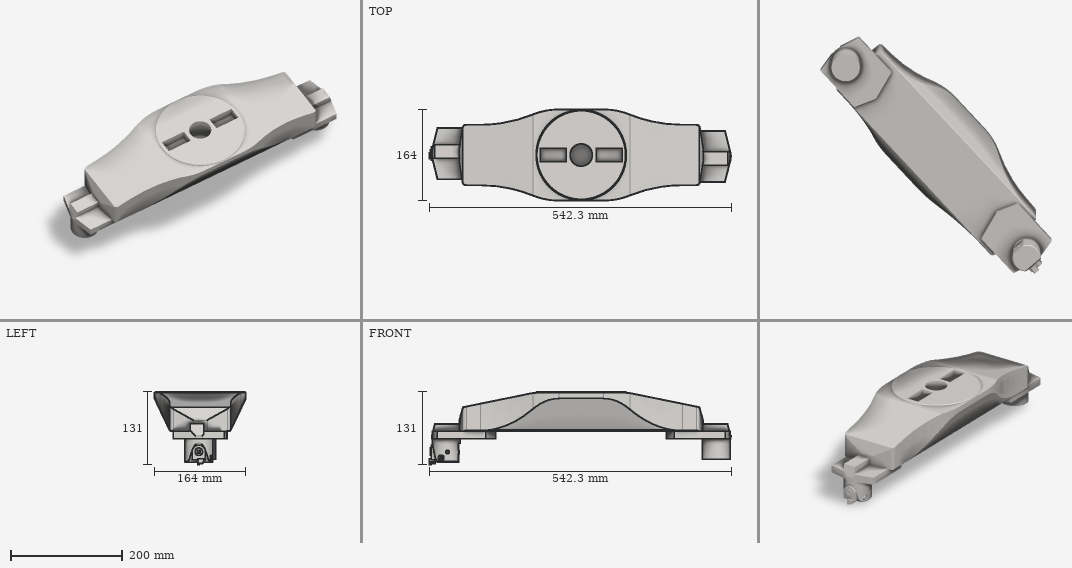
import cadquery as cq
import math


BRIDGE_HALF_WIDTH = 82.0
BRIDGE_TOP = 68.5
END_HALF_WIDTH = 54.5
END_X = 212.2
END_TOP = 43.0
END_CORNER_RADIUS = 7.0
NOSE_X = 218.8
NOSE_HALF_WIDTH = 12.8
NOSE_TOP = 19.7
SWELL_START_X = 40.0
CONVEX_RADIUS = 125.0
CONCAVE_RADIUS = 250.0
FLANK_TOP = 58.5
FLANK_BOTTOM = 2.0
FLANK_BOTTOM_HALF_WIDTH = 55.0
BOTTOM_HALF_WIDTH = 53.0

SWELL_ANGLE = math.acos(
    1 - (BRIDGE_HALF_WIDTH - END_HALF_WIDTH) / (CONVEX_RADIUS + CONCAVE_RADIUS)
)
CREST_X = SWELL_START_X + CONVEX_RADIUS * math.sin(SWELL_ANGLE)
CREST_HALF_WIDTH = BRIDGE_HALF_WIDTH - CONVEX_RADIUS * (1 - math.cos(SWELL_ANGLE))
SWELL_END_X = CREST_X + CONCAVE_RADIUS * math.sin(SWELL_ANGLE)

DISC_DIAMETER = 162.0
DISC_HEIGHT = 2.5
DISC_CHAMFER = 1.5
BORE_DIAMETER = 40.0
BORE_DEPTH = 40.0
KEYWAY_INNER_X = 27.0
KEYWAY_LENGTH = 46.5
KEYWAY_WIDTH = 24.0
KEYWAY_DEPTH = 18.0

SLIDER_THICKNESS = 14.0
SLIDER_WIDTH = 92.0
SLIDER_CENTRE_Y = 2.5
TIP_X = -268.0
TIP_FLAT_WIDTH = 13.0
BEVEL = math.tan(math.radians(14))
INNER_PEAK = (-153.0, 9.0)
INNER_SLOPE = 0.35
RAIL_WIDTH = 24.0
RAIL_CENTRE_Y = 6.0
RAIL_HEIGHT = 13.0
RAIL_INNER_X = -171.0
RAIL_BEVEL_BOTTOM = -8.0
TIP_PIN_DIAMETER = 1.5
TIP_PIN_END_X = 269.33

HEAD_DIAMETER = 50.8
HEAD_X = -242.3
HEAD_BOTTOM = -56.0
HEAD_CHAMFER = 1.5
COUNTERWEIGHT_BOTTOM = -51.0
BACK_FLAT_X = -220.0
BACK_FLAT_TOP = -22.0
BACK_BUTTON_DIAMETER = 6.0
BACK_BUTTON_HEIGHT = 1.5
BACK_BUTTON_Z = -38.0
CROSS_HOLE_DIAMETER = 6.0
CROSS_HOLE_DEPTH = 10.0
CROSS_HOLE_X = -240.0
CROSS_HOLE_Z = -37.5
SIDE_SCREW_X = -251.4
SIDE_SCREW_Z = -48.1
SIDE_SCREW_DIAMETER = 8.5
SIDE_RECESS_DIAMETER = 10.02
SIDE_RECESS_Y = -18.0
SIDE_SCREW_Y = -21.5
SIDE_SOCKET_DIAMETER = 1.5
SIDE_SOCKET_DEPTH = 1.5

SEAT_TOP_Z = -21.0
SEAT_SLOPE = 0.215
SEAT_RELIEF_TOP = -50.0
SEAT_RELIEF_X = -258.0
HEAD_FRONT_X = HEAD_X - HEAD_DIAMETER / 2
CARTRIDGE_FRONT_X = -269.5
CARTRIDGE_BACK_X = -258.0
CARTRIDGE_HALF_WIDTH = 12.0
CARTRIDGE_BOTTOM = -51.5
SCREW_Z = -37.0
SCREW_HEAD_DIAMETER = 13.6
SCREW_HEAD_X = -270.9
SCREW_SHANK_DIAMETER = 6.0
SCREW_END_X = -250.0
SCREW_SOCKET_DIAMETER = 5.0
SCREW_SOCKET_DEPTH = 1.0
TOOTH_FRONT_X = -273.0
TOOTH_BACK_X = -262.0
TOOTH_Y = (-6.7, 4.3)
TOOTH_TOP = -50.0
TOOTH_BOTTOM = -58.5
TOOTH_CHAMFER = 3.0
EDGE_TIP_Z = -60.0
EDGE_BACK_X = -269.5
EDGE_WIDTH = 2.5


def box(x0, x1, y0, y1, z0, z1):
    """Block between opposite corners."""
    return cq.Workplane(cq.Solid.makeBox(x1 - x0, y1 - y0, z1 - z0, cq.Vector(x0, y0, z0)))


def rod(diameter, start, direction, length):
    """Round bar from a start point along a direction."""
    return cq.Workplane(
        cq.Solid.makeCylinder(diameter / 2, length, cq.Vector(*start), cq.Vector(*direction))
    )


def half_turn(body):
    """The same shape at the opposite end of the bridge."""
    return body.rotate((0, 0, 0), (0, 0, 1), 180)


def arc_middle(start_x, start_y, radius, rise):
    """Point half way along a side arc that begins parallel to X."""
    half = SWELL_ANGLE / 2
    return start_x + radius * math.sin(half), start_y + rise * radius * (1 - math.cos(half))


def bridge_plan():
    """Outline seen along Z, with its four upright end corners rounded."""
    convex_mid = arc_middle(SWELL_START_X, BRIDGE_HALF_WIDTH, CONVEX_RADIUS, -1)
    concave_mid = arc_middle(-SWELL_END_X, END_HALF_WIDTH, CONCAVE_RADIUS, 1)
    concave_mid = (-concave_mid[0], concave_mid[1])

    def at(point, side_x, side_y):
        return side_x * point[0], side_y * point[1]

    crest = (CREST_X, CREST_HALF_WIDTH)
    swell_end = (SWELL_END_X, END_HALF_WIDTH)
    swell_start = (SWELL_START_X, BRIDGE_HALF_WIDTH)
    end = (END_X, END_HALF_WIDTH)
    nose = (NOSE_X, NOSE_HALF_WIDTH)
    outline = cq.Workplane("XY").moveTo(*at(swell_start, -1, 1))
    for side in (1, -1):
        outline = (
            outline.lineTo(*at(swell_start, side, side))
            .threePointArc(at(convex_mid, side, side), at(crest, side, side))
            .threePointArc(at(concave_mid, side, side), at(swell_end, side, side))
            .lineTo(*at(end, side, side))
            .lineTo(*at(nose, side, side))
            .lineTo(*at(nose, side, -side))
            .lineTo(*at(end, side, -side))
            .lineTo(*at(swell_end, side, -side))
            .threePointArc(at(concave_mid, side, -side), at(crest, side, -side))
            .threePointArc(at(convex_mid, side, -side), at(swell_start, side, -side))
        )
    plan = outline.close().extrude(BRIDGE_TOP)
    for side in (1, -1):
        corners = cq.selectors.BoxSelector(
            (side * (END_X - 1), -BRIDGE_HALF_WIDTH, 0),
            (side * (END_X + 1), BRIDGE_HALF_WIDTH, BRIDGE_TOP),
        )
        plan = plan.edges("|Z").edges(corners).fillet(END_CORNER_RADIUS)
    return plan


def bridge_elevation():
    """Outline seen along Y: flat crest, falling roof, sloped nose."""
    half = [(NOSE_X, 0), (NOSE_X, NOSE_TOP), (END_X, END_TOP), (CREST_X, BRIDGE_TOP)]
    mirrored = [(-x, z) for x, z in reversed(half)]
    return (
        cq.Workplane("XZ").polyline(half + mirrored).close()
        .extrude(BRIDGE_HALF_WIDTH, both=True)
    )


def bridge_section():
    """Outline seen along X: upright rim above inward-leaning flanks."""
    half = [
        (BOTTOM_HALF_WIDTH, 0),
        (FLANK_BOTTOM_HALF_WIDTH, FLANK_BOTTOM),
        (BRIDGE_HALF_WIDTH, FLANK_TOP),
        (BRIDGE_HALF_WIDTH, BRIDGE_TOP),
    ]
    mirrored = [(-y, z) for y, z in reversed(half)]
    return cq.Workplane("YZ").polyline(half + mirrored).close().extrude(NOSE_X, both=True)


def make_bridge():
    bridge = bridge_plan().intersect(bridge_elevation()).intersect(bridge_section())
    disc = rod(DISC_DIAMETER, (0, 0, BRIDGE_TOP), (0, 0, 1), DISC_HEIGHT)
    bridge = bridge.union(disc.faces(">Z").chamfer(DISC_CHAMFER))
    disc_top = BRIDGE_TOP + DISC_HEIGHT
    bridge = bridge.cut(rod(BORE_DIAMETER, (0, 0, disc_top), (0, 0, -1), BORE_DEPTH))
    keyway = box(
        KEYWAY_INNER_X, KEYWAY_INNER_X + KEYWAY_LENGTH,
        -KEYWAY_WIDTH / 2, KEYWAY_WIDTH / 2,
        disc_top - KEYWAY_DEPTH, disc_top,
    )
    rail_slot = rail_block()
    for cutter in (keyway, rail_slot):
        bridge = bridge.cut(cutter).cut(half_turn(cutter))
    return bridge


def rail_block():
    """Rail on the slider plate, also the slot it fills in the bridge."""
    return box(
        TIP_X, RAIL_INNER_X,
        RAIL_CENTRE_Y - RAIL_WIDTH / 2, RAIL_CENTRE_Y + RAIL_WIDTH / 2,
        0, RAIL_HEIGHT,
    )


def make_slider():
    """Plate with bevelled tip and pointed inner end, carrying an off-centre rail."""
    y_low = SLIDER_CENTRE_Y - SLIDER_WIDTH / 2
    y_high = SLIDER_CENTRE_Y + SLIDER_WIDTH / 2
    flat_low = SLIDER_CENTRE_Y - TIP_FLAT_WIDTH / 2
    flat_high = SLIDER_CENTRE_Y + TIP_FLAT_WIDTH / 2
    shoulder_x = TIP_X + BEVEL * (y_high - flat_high)
    peak_x, peak_y = INNER_PEAK
    plate = (
        cq.Workplane("XY")
        .polyline([
            (TIP_X, flat_low),
            (shoulder_x, y_low),
            (peak_x - INNER_SLOPE * (peak_y - y_low), y_low),
            INNER_PEAK,
            (peak_x - INNER_SLOPE * (y_high - peak_y), y_high),
            (shoulder_x, y_high),
            (TIP_X, flat_high),
        ])
        .close()
        .extrude(-SLIDER_THICKNESS)
    )
    rail_top_x = TIP_X + BEVEL * (RAIL_HEIGHT - RAIL_BEVEL_BOTTOM)
    wedge = (
        cq.Workplane("XZ", origin=(0, RAIL_CENTRE_Y, 0))
        .polyline([(TIP_X, RAIL_BEVEL_BOTTOM), (rail_top_x, RAIL_HEIGHT), (TIP_X, RAIL_HEIGHT)])
        .close()
        .extrude(RAIL_WIDTH / 2, both=True)
    )
    return plate.union(rail_block()).cut(wedge)


def make_pinned_slider():
    """Slider of the +X end, with a small pin standing out of its tip."""
    pin = rod(
        TIP_PIN_DIAMETER, (-TIP_X, -SLIDER_CENTRE_Y, RAIL_BEVEL_BOTTOM - TIP_PIN_DIAMETER / 2),
        (1, 0, 0), TIP_PIN_END_X + TIP_X,
    )
    return half_turn(make_slider()).union(pin)


def round_block(bottom):
    """Cylinder hanging under the -X slider."""
    return rod(
        HEAD_DIAMETER, (HEAD_X, SLIDER_CENTRE_Y, bottom), (0, 0, 1), -SLIDER_THICKNESS - bottom
    )


def make_counterweight():
    return half_turn(round_block(COUNTERWEIGHT_BOTTOM))


def seat_x(z):
    """X of the sloped cartridge seat at a height."""
    return HEAD_FRONT_X + SEAT_SLOPE * (SEAT_TOP_Z - z)


def seat_wedge(limit_x):
    """Everything between the seat plane and an upright plane at limit_x."""
    return (
        cq.Workplane("XZ", origin=(0, SLIDER_CENTRE_Y, 0))
        .polyline([
            (seat_x(0), 0),
            (seat_x(EDGE_TIP_Z), EDGE_TIP_Z),
            (limit_x, EDGE_TIP_Z),
            (limit_x, 0),
        ])
        .close()
        .extrude(HEAD_DIAMETER, both=True)
    )


def make_head():
    head = round_block(HEAD_BOTTOM).faces("<Z").chamfer(HEAD_CHAMFER)
    head = head.cut(seat_wedge(TOOTH_FRONT_X - HEAD_DIAMETER))
    relief = (
        cq.Workplane("XZ", origin=(0, SLIDER_CENTRE_Y, 0))
        .polyline([
            (seat_x(SEAT_RELIEF_TOP), SEAT_RELIEF_TOP),
            (SEAT_RELIEF_X, HEAD_BOTTOM),
            (HEAD_FRONT_X, HEAD_BOTTOM),
            (HEAD_FRONT_X, SEAT_RELIEF_TOP),
        ])
        .close()
        .extrude(HEAD_DIAMETER / 2, both=True)
    )
    head = head.cut(relief)
    y_low = SLIDER_CENTRE_Y - HEAD_DIAMETER / 2
    y_high = SLIDER_CENTRE_Y + HEAD_DIAMETER / 2
    head = head.cut(
        box(BACK_FLAT_X, HEAD_X + HEAD_DIAMETER / 2, y_low, y_high, HEAD_BOTTOM, BACK_FLAT_TOP)
    )
    button = (BACK_FLAT_X, SLIDER_CENTRE_Y, BACK_BUTTON_Z)
    head = head.union(rod(BACK_BUTTON_DIAMETER, button, (1, 0, 0), BACK_BUTTON_HEIGHT))
    radius = HEAD_DIAMETER / 2
    hole_drop = radius - math.sqrt(radius ** 2 - (CROSS_HOLE_X - HEAD_X) ** 2)
    hole = (CROSS_HOLE_X, y_low, CROSS_HOLE_Z)
    head = head.cut(rod(CROSS_HOLE_DIAMETER, hole, (0, 1, 0), CROSS_HOLE_DEPTH + hole_drop))
    recess = (SIDE_SCREW_X, SIDE_RECESS_Y, SIDE_SCREW_Z)
    top = (SIDE_SCREW_X, SIDE_SCREW_Y, SIDE_SCREW_Z)
    head = head.cut(rod(SIDE_RECESS_DIAMETER, recess, (0, -1, 0), HEAD_DIAMETER))
    head = head.union(rod(SIDE_SCREW_DIAMETER, recess, (0, -1, 0), SIDE_RECESS_Y - SIDE_SCREW_Y))
    return head.cut(rod(SIDE_SOCKET_DIAMETER, top, (0, 1, 0), SIDE_SOCKET_DEPTH))


def make_screw():
    """Screw along X with a round head on the face of the cartridge."""
    head = rod(
        SCREW_HEAD_DIAMETER, (SCREW_HEAD_X, SLIDER_CENTRE_Y, SCREW_Z), (1, 0, 0),
        CARTRIDGE_FRONT_X - SCREW_HEAD_X,
    )
    shank = rod(
        SCREW_SHANK_DIAMETER, (CARTRIDGE_FRONT_X, SLIDER_CENTRE_Y, SCREW_Z), (1, 0, 0),
        SCREW_END_X - CARTRIDGE_FRONT_X,
    )
    socket = rod(
        SCREW_SOCKET_DIAMETER, (SCREW_HEAD_X, SLIDER_CENTRE_Y, SCREW_Z), (1, 0, 0),
        SCREW_SOCKET_DEPTH,
    )
    return head.union(shank).cut(socket)


def make_cartridge():
    """Round-topped plate on the sloped seat, with a cutting tooth at the bottom."""
    y_low = SLIDER_CENTRE_Y - CARTRIDGE_HALF_WIDTH
    y_high = SLIDER_CENTRE_Y + CARTRIDGE_HALF_WIDTH
    body = (
        cq.Workplane("YZ", origin=(CARTRIDGE_FRONT_X, 0, 0))
        .moveTo(y_low, CARTRIDGE_BOTTOM)
        .lineTo(y_high, CARTRIDGE_BOTTOM)
        .lineTo(y_high, SCREW_Z)
        .threePointArc((SLIDER_CENTRE_Y, SCREW_Z + CARTRIDGE_HALF_WIDTH), (y_low, SCREW_Z))
        .close()
        .extrude(CARTRIDGE_BACK_X - CARTRIDGE_FRONT_X)
    )
    tooth_low, tooth_high = TOOTH_Y
    tooth = (
        box(TOOTH_FRONT_X, TOOTH_BACK_X, tooth_low, tooth_high, TOOTH_BOTTOM, TOOTH_TOP)
        .edges("|X and <Y and <Z")
        .chamfer(TOOTH_CHAMFER)
    )
    edge = box(
        TOOTH_FRONT_X, EDGE_BACK_X, tooth_high - EDGE_WIDTH, tooth_high, EDGE_TIP_Z, TOOTH_BOTTOM
    )
    return body.cut(seat_wedge(SCREW_END_X)).union(tooth).union(edge)


screw = make_screw()
bridge = make_bridge()
tool_slider = make_slider()
pinned_slider = make_pinned_slider()
counterweight = make_counterweight()
head = make_head().cut(screw)
cartridge = make_cartridge().cut(screw)

result = cq.Compound.makeCompound([
    bridge.solids().val(),
    tool_slider.solids().val(),
    pinned_slider.solids().val(),
    counterweight.solids().val(),
    head.solids().val(),
    cartridge.solids().val(),
    screw.solids().val(),
])